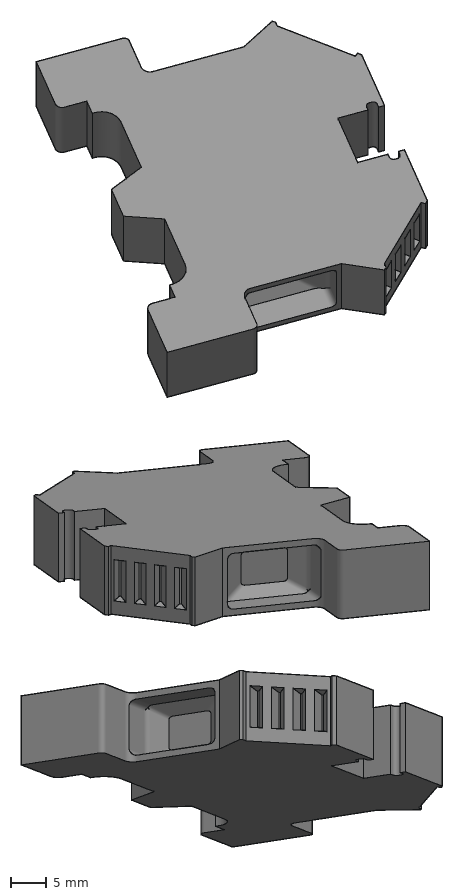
import cadquery as cq
import math

WIDTH = 56.0
HEIGHT = 43.8
THICKNESS = 10.1

FOOT_TOP = 13.65
FOOT_INNER_X = 18.9
FOOT_OUTER_RADIUS = 0.8
FOOT_INNER_RADIUS = 1.0

LEDGE_Y = 4.35
RECESS_TOP = 7.7
RECESS_RADIUS = 2.9
RECESS_HALF_WIDTH = 16.5

KEY_BOTTOM_Y = 2.35
KEY_TOP_HALF_WIDTH = 5.0
KEY_BOTTOM_HALF_WIDTH = 2.6

SIDE_X = 20.9
SIDE_TOP_Y = 28.55
SIDE_RADIUS = 1.3
SHOULDER_TIP = (23.95, 33.9)
SHOULDER_LIP_X = 23.65

SLOPE_LOW = (22.9, 34.3)
SLOPE_HIGH = (14.1, 42.85)
TOP_LIP_TIP = (14.5, 43.35)
TOP_LIP_X = 14.0

SLOT_HALF_WIDTH = 4.25
SLOT_BOTTOM_Y = 36.8
NOTCH_LOW_Y = 41.3
NOTCH_HIGH_Y = 42.9
NOTCH_REACH_X = 5.45
NOTCH_RADIUS = 0.6

ENTRY_LOW_Y = 13.9
ENTRY_HIGH_Y = 27.85
ENTRY_HALF_HEIGHT = 4.1
ENTRY_DEPTH = 5.6
ENTRY_FLOOR_LOW_Y = 16.65
ENTRY_FLOOR_HIGH_Y = 23.65
ENTRY_FLOOR_HALF_HEIGHT = 2.45
ENTRY_Y_WALL_ANGLE = 60.0
ENTRY_Z_WALL_ANGLE = 45.0
ENTRY_CORNER_RADIUS = 0.9
ENTRY_RIM_RADIUS = 1.0

GROOVE_COUNT = 4
GROOVE_PITCH_Y = 2.2
GROOVE_FIRST_Y = 42.5
GROOVE_HEIGHT_Y = 1.3
GROOVE_UPPER_WALL_Y = 1.0
GROOVE_UPPER_WALL_X = 0.7
GROOVE_HALF_LENGTH = 3.0
GROOVE_FLOOR_HALF_LENGTH = 2.65


def build_half_body():
    """Extrude the left half of the outline, closed along the centre plane."""
    recess_arc_y = RECESS_TOP - RECESS_RADIUS
    recess_arc_x = RECESS_HALF_WIDTH - RECESS_RADIUS
    half = (
        cq.Workplane("XY", origin=(0, 0, -THICKNESS / 2))
        .moveTo(0, KEY_BOTTOM_Y)
        .lineTo(-KEY_BOTTOM_HALF_WIDTH, KEY_BOTTOM_Y)
        .lineTo(-KEY_TOP_HALF_WIDTH, RECESS_TOP)
        .lineTo(-recess_arc_x, RECESS_TOP)
        .radiusArc((-RECESS_HALF_WIDTH, recess_arc_y), -RECESS_RADIUS)
        .lineTo(-RECESS_HALF_WIDTH, LEDGE_Y)
        .lineTo(-FOOT_INNER_X, LEDGE_Y)
        .lineTo(-FOOT_INNER_X, 0)
        .lineTo(-WIDTH / 2, 0)
        .lineTo(-WIDTH / 2, FOOT_TOP)
        .lineTo(-SIDE_X, FOOT_TOP)
        .lineTo(-SIDE_X, SIDE_TOP_Y)
        .lineTo(-SHOULDER_TIP[0], SHOULDER_TIP[1])
        .lineTo(-SHOULDER_LIP_X, SLOPE_LOW[1])
        .lineTo(-SLOPE_LOW[0], SLOPE_LOW[1])
        .lineTo(-SLOPE_HIGH[0], SLOPE_HIGH[1])
        .lineTo(-TOP_LIP_TIP[0], TOP_LIP_TIP[1])
        .lineTo(-TOP_LIP_X, HEIGHT)
        .lineTo(-SLOT_HALF_WIDTH, HEIGHT)
        .lineTo(-SLOT_HALF_WIDTH, NOTCH_HIGH_Y)
        .lineTo(-NOTCH_REACH_X, NOTCH_HIGH_Y)
        .lineTo(-NOTCH_REACH_X, NOTCH_LOW_Y)
        .lineTo(-SLOT_HALF_WIDTH, NOTCH_LOW_Y)
        .lineTo(-SLOT_HALF_WIDTH, SLOT_BOTTOM_Y)
        .lineTo(0, SLOT_BOTTOM_Y)
        .close()
        .extrude(THICKNESS)
    )
    rounded_corners = [
        (-WIDTH / 2, FOOT_TOP, FOOT_OUTER_RADIUS),
        (-FOOT_INNER_X, 0, FOOT_INNER_RADIUS),
        (-SIDE_X, FOOT_TOP, SIDE_RADIUS),
        (-NOTCH_REACH_X, NOTCH_HIGH_Y, NOTCH_RADIUS),
        (-NOTCH_REACH_X, NOTCH_LOW_Y, NOTCH_RADIUS),
    ]
    for x, y, radius in rounded_corners:
        corner = cq.selectors.NearestToPointSelector((x, y, 0))
        half = half.edges("|Z").edges(corner).fillet(radius)
    return half


def entry_plan(outer_x, floor_x):
    """Plan shape of the pocket as a tall prism, rounded where the walls start to lean."""
    lean = math.tan(math.radians(ENTRY_Y_WALL_ANGLE))
    high_rim_x = floor_x - (ENTRY_HIGH_Y - ENTRY_FLOOR_HIGH_Y) / lean
    low_rim_x = floor_x - (ENTRY_FLOOR_LOW_Y - ENTRY_LOW_Y) / lean
    plan = (
        cq.Workplane("XY")
        .polyline([
            (outer_x, ENTRY_LOW_Y),
            (low_rim_x, ENTRY_LOW_Y),
            (floor_x, ENTRY_FLOOR_LOW_Y),
            (floor_x, ENTRY_FLOOR_HIGH_Y),
            (high_rim_x, ENTRY_HIGH_Y),
            (outer_x, ENTRY_HIGH_Y),
        ])
        .close()
        .extrude(THICKNESS / 2, both=True)
    )
    for rim in [(low_rim_x, ENTRY_LOW_Y, 0), (high_rim_x, ENTRY_HIGH_Y, 0)]:
        nearest = cq.selectors.NearestToPointSelector(rim)
        plan = plan.edges("|Z").edges(nearest).fillet(ENTRY_RIM_RADIUS)
    return plan


def entry_mouth(outer_x, floor_x):
    """Straight opening of the pocket, with rounded corners along X."""
    return (
        cq.Workplane("YZ", origin=(outer_x, 0, 0))
        .center((ENTRY_LOW_Y + ENTRY_HIGH_Y) / 2, 0)
        .rect(ENTRY_HIGH_Y - ENTRY_LOW_Y, 2 * ENTRY_HALF_HEIGHT)
        .extrude(floor_x - outer_x)
        .edges("|X")
        .fillet(ENTRY_CORNER_RADIUS)
    )


def floor_wedge(plane, outer_x, floor_x, floor_low, floor_high, wall_angle):
    """Long prism whose two walls lean outward from the pocket floor."""
    spread = (floor_x - outer_x) * math.tan(math.radians(wall_angle))
    return (
        cq.Workplane(plane)
        .polyline([
            (floor_x, floor_low),
            (floor_x, floor_high),
            (outer_x, floor_high + spread),
            (outer_x, floor_low - spread),
        ])
        .close()
        .extrude(HEIGHT, both=True)
    )


def entry_funnel(outer_x, floor_x):
    """Four-sided funnel with rounded corners that widens outward from the floor."""
    y_wedge = floor_wedge(
        "XY", outer_x, floor_x, ENTRY_FLOOR_LOW_Y, ENTRY_FLOOR_HIGH_Y, ENTRY_Y_WALL_ANGLE
    )
    z_wedge = floor_wedge(
        "XZ", outer_x, floor_x, -ENTRY_FLOOR_HALF_HEIGHT, ENTRY_FLOOR_HALF_HEIGHT, ENTRY_Z_WALL_ANGLE
    )
    return y_wedge.intersect(z_wedge).edges("not(#X)").fillet(ENTRY_CORNER_RADIUS)


def entry_cutter():
    """Straight-mouthed pocket that narrows to a small flat floor."""
    outer_x = -SIDE_X - SIDE_RADIUS
    floor_x = -SIDE_X + ENTRY_DEPTH
    funnel = entry_funnel(outer_x, floor_x)
    return funnel.intersect(entry_plan(outer_x, floor_x)).intersect(entry_mouth(outer_x, floor_x))


def slope_x(y):
    """X of the left sloped face at height y."""
    run = (SLOPE_LOW[0] - SLOPE_HIGH[0]) / (SLOPE_HIGH[1] - SLOPE_LOW[1])
    return -SLOPE_HIGH[0] - run * (SLOPE_HIGH[1] - y)


def rectangle_wire(upper, lower, half_length):
    """Rectangle spanning two XY points and +-half_length in Z."""
    corners = [
        (*upper, -half_length),
        (*upper, half_length),
        (*lower, half_length),
        (*lower, -half_length),
    ]
    return cq.Wire.makePolygon([cq.Vector(*c) for c in corners], close=True)


def groove_cutter(upper_y):
    """Tapered groove from the sloped face to a floor square to X."""
    lower_y = upper_y - GROOVE_HEIGHT_Y
    floor_x = slope_x(upper_y) + GROOVE_UPPER_WALL_X
    mouth = rectangle_wire(
        (slope_x(upper_y), upper_y), (slope_x(lower_y), lower_y), GROOVE_HALF_LENGTH
    )
    floor = rectangle_wire(
        (floor_x, upper_y - GROOVE_UPPER_WALL_Y), (floor_x, lower_y), GROOVE_FLOOR_HALF_LENGTH
    )
    return cq.Workplane(cq.Solid.makeLoft([mouth, floor], True))


half_body = build_half_body().cut(entry_cutter())
for index in range(GROOVE_COUNT):
    half_body = half_body.cut(groove_cutter(GROOVE_FIRST_Y - index * GROOVE_PITCH_Y))

result = half_body.union(half_body.mirror("YZ"), clean=True)